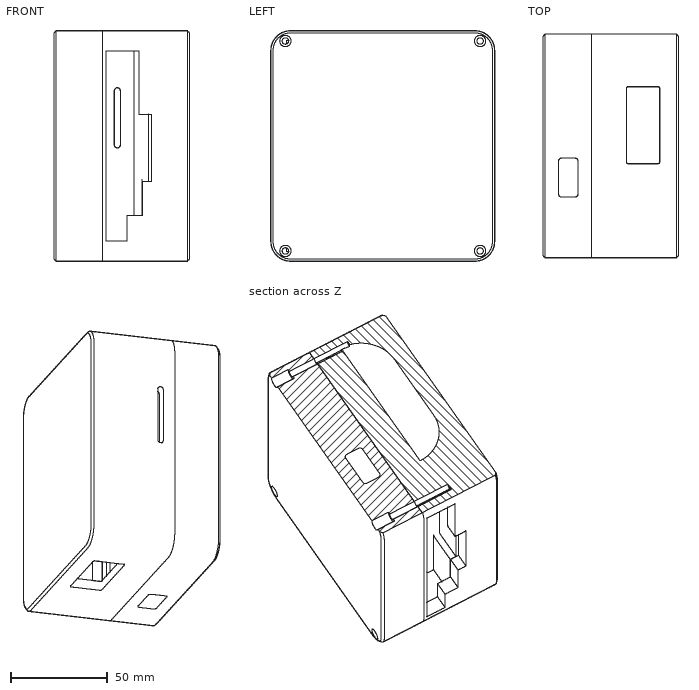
import cadquery as cq
DEPTH = 70.0
WIDTH = 115.5
HEIGHT = 119.0
CORNER_RADIUS = 10.2
RIM_CHAMFER = 1.2
LID_DEPTH = 25.0
X_BACK = -DEPTH / 2
X_SEAM = X_BACK + LID_DEPTH
X_FACE = DEPTH / 2

WALL = 7.5
CAVITY_FLOOR = 6.4
CAVITY_Z = HEIGHT / 2 - WALL
CAVITY_Y = WIDTH / 2 - WALL

WINDOW_Z = 48.9
WINDOW_LEFT = -8.2
WINDOW_FOOT_RIGHT = 2.7
WINDOW_LOW_RIGHT = 10.6
WINDOW_MID_RIGHT = 15.4
WINDOW_TOP_RIGHT = 8.8
WINDOW_FOOT_TOP = -35.8
WINDOW_LOW_TOP = -18.5
WINDOW_MID_TOP = 16.3
POCKET_SHALLOW_X = 10.4
POCKET_DEEP_X = 13.8
POCKET_STEP_Z = -18.2
POCKET_STEP_FILLET = 1.0
POCKET_LIP_FILLET = 1.1
DIVIDER = 4.8

SLOT_X = -2.3
SLOT_Z = 14.5
SLOT_WIDTH = 3.0
SLOT_LENGTH = 30.9
SLOT_FILLET = 1.0

FLARE = 5.0
LID_PASSAGE = dict(x=-21.9, y=-16.3, size_x=10.0, size_y=20.0, corner=1.5)
BOX_PASSAGE = dict(x=16.7, y=10.7, size_x=17.0, size_y=39.5, corner=0.7)

COMPARTMENT_RADIUS = 20.0
COMPARTMENT_FLOOR = BOX_PASSAGE["x"] + BOX_PASSAGE["size_x"] / 2
COMPARTMENT_MOUTH = COMPARTMENT_FLOOR - COMPARTMENT_RADIUS
COMPARTMENT_NEAR_Y = 2 * BOX_PASSAGE["y"] - CAVITY_Y
COMPARTMENT_Z = HEIGHT / 2 - FLARE
POCKET_FAR_Y = COMPARTMENT_NEAR_Y - DIVIDER

SCREW_Y = 50.2
SCREW_Z = 54.1
HEAD_DIAMETER = 5.8
HEAD_DEPTH = 10.0
SCREW_DIAMETER = 3.3
THREAD_DEPTH = 20.0


def block(x_min, x_max, y_min, y_max, z_min, z_max):
    """Box between the given limits."""
    size = (x_max - x_min, y_max - y_min, z_max - z_min)
    return cq.Workplane("XY").box(*size, centered=False).translate((x_min, y_min, z_min))


def shell_block(x_min, x_max, rim):
    """Slab of the rounded enclosure outline, with its outer rim chamfered."""
    slab = block(x_min, x_max, -WIDTH / 2, WIDTH / 2, -HEIGHT / 2, HEIGHT / 2)
    return slab.edges("|X").fillet(CORNER_RADIUS).faces(rim).edges().chamfer(RIM_CHAMFER)


def flared_profile(plane, size, length):
    """Vertical slab of the given width whose sides flare out to the top face."""
    half = size / 2
    top = HEIGHT / 2
    arc_rise = FLARE * (1 - 0.5**0.5)
    return (
        cq.Workplane(plane)
        .moveTo(-half, -top)
        .lineTo(half, -top)
        .lineTo(half, top - FLARE)
        .threePointArc((half + arc_rise, top - arc_rise), (half + FLARE, top))
        .lineTo(-half - FLARE, top)
        .threePointArc((-half - arc_rise, top - arc_rise), (-half, top - FLARE))
        .close()
        .extrude(length / 2 + FLARE, both=True)
    )


def flared_passage(body, x, y, size_x, size_y, corner):
    """Cut a vertical passage with a mitred flare at the top and rounded corners."""
    cutter = flared_profile("XZ", size_x, size_y).intersect(flared_profile("YZ", size_y, size_x))
    cutter = cutter.edges("|Z").fillet(corner)
    return body.cut(cutter.translate((x, y, 0)))


def screw_holes(diameter, x_min, x_max):
    """Four corner cylinders along X."""
    centers = [(y, z) for y in (-SCREW_Y, SCREW_Y) for z in (-SCREW_Z, SCREW_Z)]
    plane = cq.Workplane("YZ", origin=(x_min, 0, 0))
    return plane.pushPoints(centers).circle(diameter / 2).extrude(x_max - x_min)


def stepped_window():
    """Cutter for the stepped window in the -Y wall."""
    outline = [
        (WINDOW_LEFT, -WINDOW_Z),
        (WINDOW_FOOT_RIGHT, -WINDOW_Z),
        (WINDOW_FOOT_RIGHT, WINDOW_FOOT_TOP),
        (WINDOW_LOW_RIGHT, WINDOW_FOOT_TOP),
        (WINDOW_LOW_RIGHT, WINDOW_LOW_TOP),
        (WINDOW_MID_RIGHT, WINDOW_LOW_TOP),
        (WINDOW_MID_RIGHT, WINDOW_MID_TOP),
        (WINDOW_TOP_RIGHT, WINDOW_MID_TOP),
        (WINDOW_TOP_RIGHT, WINDOW_Z),
        (WINDOW_LEFT, WINDOW_Z),
    ]
    plane = cq.Workplane("XZ", origin=(0, -CAVITY_Y, 0))
    return plane.polyline(outline).close().extrude(WALL)


def cavity_block(x_max, y_max, z_min):
    """Part of the cavity from the seam and the -Y and +Z walls to the given limits."""
    return block(X_SEAM, x_max, -CAVITY_Y, y_max, z_min, CAVITY_Z)


def cavity():
    """Main cavity with the stepped pocket in its floor, between the -Y wall and the divider."""
    mouth = cavity_block(COMPARTMENT_MOUTH, CAVITY_Y, -CAVITY_Z)
    floor = cavity_block(CAVITY_FLOOR, BOX_PASSAGE["y"], -CAVITY_Z)
    shallow = cavity_block(POCKET_SHALLOW_X, POCKET_FAR_Y, -CAVITY_Z)
    deep = cavity_block(POCKET_DEEP_X, POCKET_FAR_Y, POCKET_STEP_Z)
    deep = deep.edges(">Y and <Z").fillet(POCKET_STEP_FILLET)
    return mouth.union(floor).union(shallow).union(deep)


def compartment():
    """Compartment along Z with two large round corners on its +X side."""
    room = block(
        COMPARTMENT_MOUTH - COMPARTMENT_RADIUS / 2,
        COMPARTMENT_FLOOR,
        COMPARTMENT_NEAR_Y,
        CAVITY_Y,
        -COMPARTMENT_Z,
        COMPARTMENT_Z,
    )
    room = room.edges("|Z and >X").fillet(COMPARTMENT_RADIUS)
    return room.intersect(block(COMPARTMENT_MOUTH, X_FACE, -WIDTH, WIDTH, -HEIGHT, HEIGHT))


def pocket_lip(body):
    """Round the edge where the cavity floor turns into the far wall of the pocket."""
    middle = (CAVITY_FLOOR, POCKET_FAR_Y, 0)
    return body.edges(cq.NearestToPointSelector(middle)).fillet(POCKET_LIP_FILLET)


def wall_slot(body):
    """Cut the slot in the +Y wall and round its inner edge."""
    plane = cq.Workplane("XZ", origin=(SLOT_X, WIDTH / 2, SLOT_Z))
    slot = plane.slot2D(SLOT_LENGTH, SLOT_WIDTH, 90).extrude(WALL)
    inner = cq.selectors.BoxSelector(
        (SLOT_X - SLOT_WIDTH, CAVITY_Y - 0.1, SLOT_Z - SLOT_LENGTH),
        (SLOT_X + SLOT_WIDTH, CAVITY_Y + 0.1, SLOT_Z + SLOT_LENGTH),
        boundingbox=True,
    )
    return body.cut(slot).edges(inner).fillet(SLOT_FILLET)


def make_lid():
    lid = shell_block(X_BACK, X_SEAM, "<X")
    lid = flared_passage(lid, **LID_PASSAGE)
    lid = lid.cut(screw_holes(SCREW_DIAMETER, X_BACK, X_SEAM))
    return lid.cut(screw_holes(HEAD_DIAMETER, X_BACK, X_BACK + HEAD_DEPTH))


def make_box():
    box = shell_block(X_SEAM, X_FACE, ">X")
    box = box.cut(cavity())
    box = pocket_lip(box)
    box = box.cut(compartment())
    box = box.cut(stepped_window())
    box = wall_slot(box)
    box = flared_passage(box, **BOX_PASSAGE)
    return box.cut(screw_holes(SCREW_DIAMETER, X_SEAM, X_SEAM + THREAD_DEPTH))


lid = make_lid()
box = make_box()
result = cq.Compound.makeCompound([lid.val(), box.val()])